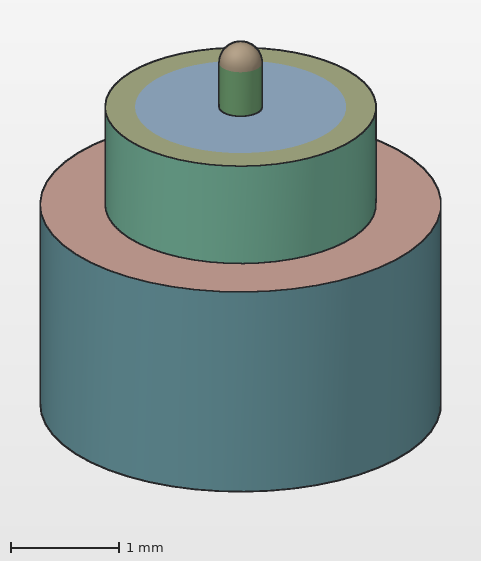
import cadquery as cq

base_diameter = 3.7
base_height = 2.05
collar_diameter = 2.5
collar_height = 1.0
insert_diameter = 1.95
pin_diameter = 0.4
total_height = 3.7

collar_top = base_height + collar_height
pin_radius = pin_diameter / 2
pin_shoulder = total_height - pin_radius


def cylinder(diameter, bottom, top):
    """Vertical cylinder on the Z axis between two heights."""
    return cq.Workplane("XY").workplane(offset=bottom).circle(diameter / 2).extrude(top - bottom)


def round_ended_pin():
    """Pin standing on the collar, finished with a hemispherical tip."""
    shank = cylinder(pin_diameter, collar_top, pin_shoulder)
    tip = cq.Workplane("XY").sphere(pin_radius).translate((0, 0, pin_shoulder))
    return shank.union(tip)


base = cylinder(base_diameter, 0, base_height)
insert = cylinder(insert_diameter, base_height, collar_top)
collar = cylinder(collar_diameter, base_height, collar_top).cut(insert)

result = base.union(collar).union(insert, clean=False).union(round_ended_pin(), clean=False)